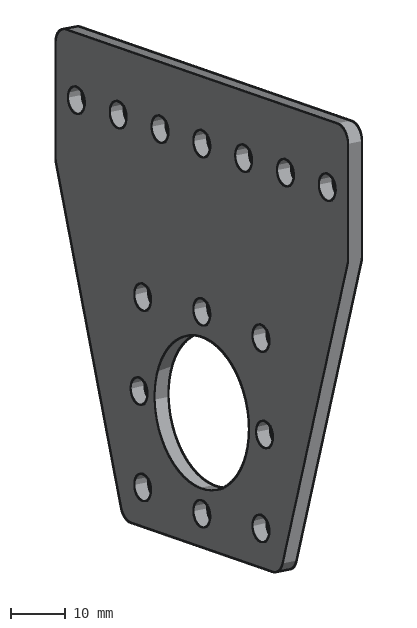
import cadquery as cq

side = 88.9
thickness = 3.2
corner_radius = 3.2
bottom_width = 47.65

row_count = 7
pitch = side / row_count
top = side / 2
shoulder_z = top - 2 * pitch
row_z = top - pitch

small_hole_diameter = 5.1
opening_diameter = 28.6
opening_z = top - 5 * pitch
inner_circle_radius = 1.5 * pitch
outer_circle_radius = 2 * pitch
holes_per_circle = 4


def back_face():
    """Sketch plane on the +Y face; extrusions run from it toward -Y."""
    return cq.Workplane("XZ", origin=(0, thickness / 2, 0))


def plate():
    """Straight-sided at the top, tapering to the bottom, with rounded corners."""
    outline = [
        (-side / 2, top),
        (side / 2, top),
        (side / 2, shoulder_z),
        (bottom_width / 2, -top),
        (-bottom_width / 2, -top),
        (-side / 2, shoulder_z),
    ]
    body = back_face().polyline(outline).close().extrude(thickness)
    return body.edges("|Y").fillet(corner_radius)


def hole_cutters(layout, diameter):
    """Cylinders through the plate at every point of the layout."""
    return layout.circle(diameter / 2).extrude(thickness)


def hole_circle(radius, start_angle):
    """Small holes evenly spaced on a circle around the opening."""
    layout = back_face().center(0, opening_z).polarArray(radius, start_angle, 360, holes_per_circle)
    return hole_cutters(layout, small_hole_diameter)


top_row = back_face().center(0, row_z).rarray(pitch, 0.9, row_count, 1)
opening = back_face().center(0, opening_z)

result = (
    plate()
    .cut(hole_cutters(top_row, small_hole_diameter))
    .cut(hole_cutters(opening, opening_diameter))
    .cut(hole_circle(inner_circle_radius, 0))
    .cut(hole_circle(outer_circle_radius, 45))
)